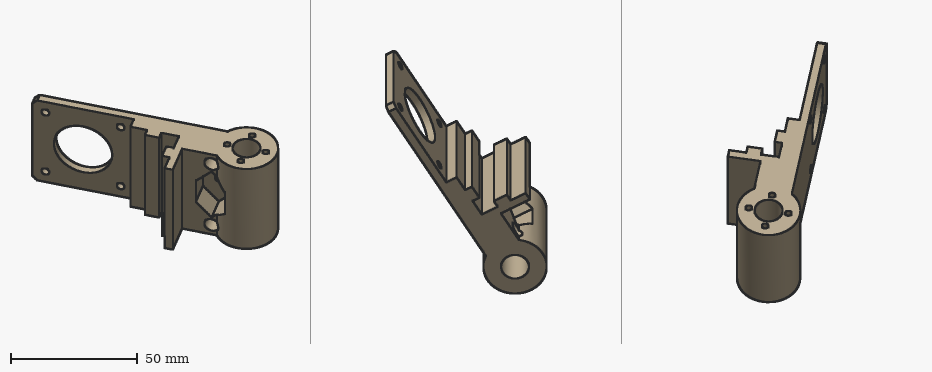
import cadquery as cq

total_length = 102.0
height = 42.0

barrel_radius = 12.5
bore_diameter = 11.0
barrel_screw_diameter = 2.5
barrel_screw_count = 4
barrel_screw_circle_radius = 8.0
barrel_screw_depth = 10.2

plate_end_x = barrel_radius - total_length
plate_back_y = 7.5
plate_thickness = 3.6
plate_front_y = plate_back_y - plate_thickness
corner_chamfer = 2.0

block_start_x = plate_end_x + 41.8
block_front_y = -0.7
neck_front_y = -plate_back_y

overall_depth = 33.3
wall_left_x = plate_end_x + 61.8
wall_thickness = 3.4
wall_right_x = wall_left_x + wall_thickness
wall_tip_y = barrel_radius - overall_depth
rib_width = 5.9
rib_height = 3.1
rib_offset = 7.2

motor_x = plate_end_x + 20.9
motor_opening_diameter = 24.0
motor_screw_spacing = 31.0
screw_diameter = 3.2

clamp_x = plate_end_x + 77.3
pocket_half_width = 6.5
pocket_side_half_height = 5.5
clamp_cut_depth = 10.0
clamp_floor_y = neck_front_y + clamp_cut_depth
pin_diameter = 6.0
pin_spacing = 32.0


def upright_box(x_min, x_max, y_min, y_max):
    """Full-height box, centred on Z = 0."""
    box = cq.Workplane("XY").box(x_max - x_min, y_max - y_min, height)
    return box.translate(((x_min + x_max) / 2, (y_min + y_max) / 2, 0))


def front_plane(y):
    """Sketch plane at depth y, with +X right and +Z up; it extrudes toward -Y."""
    return cq.Workplane("XZ", origin=(0, y, 0))


def make_plate():
    plate = upright_box(plate_end_x, block_start_x, plate_front_y, plate_back_y)
    return plate.edges("|Y and <X").chamfer(corner_chamfer)


def make_block():
    block = upright_box(block_start_x, wall_right_x, block_front_y, plate_back_y)
    neck = upright_box(wall_left_x, 0, neck_front_y, plate_back_y)
    wall = upright_box(wall_left_x, wall_right_x, wall_tip_y, plate_back_y)
    return block.union(neck).union(wall)


def make_ribs():
    """One rib on each face of the inner corner, equally far from that corner."""
    block_rib_right_x = wall_left_x - rib_offset
    block_rib = upright_box(
        block_rib_right_x - rib_width, block_rib_right_x, block_front_y - rib_height, block_front_y
    )
    wall_rib_top_y = block_front_y - rib_offset
    wall_rib = upright_box(
        wall_left_x - rib_height, wall_left_x, wall_rib_top_y - rib_width, wall_rib_top_y
    )
    return block_rib.union(wall_rib)


def make_barrel():
    return cq.Workplane("XY").circle(barrel_radius).extrude(height / 2, both=True)


def barrel_holes():
    bore = cq.Workplane("XY").circle(bore_diameter / 2).extrude(height, both=True)
    screws = (
        cq.Workplane("XY", origin=(0, 0, height / 2))
        .polarArray(barrel_screw_circle_radius, 0, 360, barrel_screw_count)
        .circle(barrel_screw_diameter / 2)
        .extrude(-barrel_screw_depth)
    )
    return bore.union(screws)


def motor_holes():
    plane = front_plane(plate_back_y).center(motor_x, 0)
    opening = plane.circle(motor_opening_diameter / 2).extrude(plate_thickness)
    screws = (
        plane.rect(motor_screw_spacing, motor_screw_spacing, forConstruction=True)
        .vertices()
        .circle(screw_diameter / 2)
        .extrude(plate_thickness)
    )
    return opening.union(screws)


def clamp_cuts():
    """Pointed hexagonal pocket with 45 degree ends, a through screw and two blind holes."""
    half_width = pocket_half_width
    side = pocket_side_half_height
    tip = side + half_width
    outline = [
        (half_width, -side),
        (half_width, side),
        (0, tip),
        (-half_width, side),
        (-half_width, -side),
        (0, -tip),
    ]
    pocket = (
        front_plane(clamp_floor_y)
        .center(clamp_x, 0)
        .polyline(outline)
        .close()
        .extrude(clamp_floor_y + barrel_radius)
    )
    screw = (
        front_plane(plate_back_y)
        .center(clamp_x, 0)
        .circle(screw_diameter / 2)
        .extrude(plate_back_y + barrel_radius)
    )
    pins = (
        front_plane(clamp_floor_y)
        .center(clamp_x, 0)
        .pushPoints([(0, -pin_spacing / 2), (0, pin_spacing / 2)])
        .circle(pin_diameter / 2)
        .extrude(clamp_floor_y + barrel_radius)
    )
    return pocket.union(screw).union(pins)


body = make_plate().union(make_block()).union(make_ribs()).union(make_barrel())
result = body.cut(barrel_holes()).cut(motor_holes()).cut(clamp_cuts())